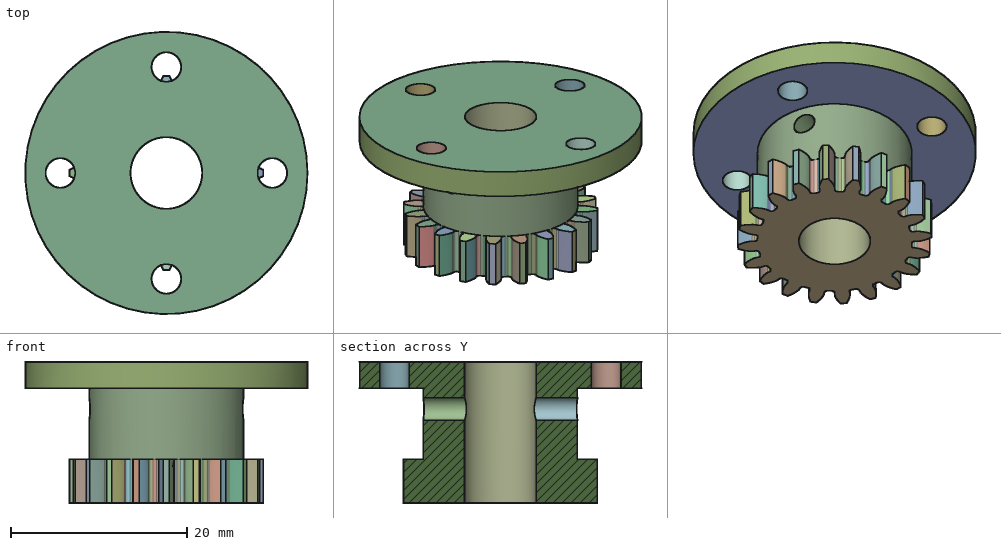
import cadquery as cq
import math

flange_diameter = 32.0
flange_thickness = 3.0
total_height = 16.0
bore_diameter = 8.1

mount_hole_diameter = 3.33
mount_circle_diameter = 24.0
mount_hole_count = 4

cross_hole_diameter = 2.53
cross_hole_height = 10.65

tooth_count = 20
pitch_diameter = 20.0
gear_height = 5.0
pressure_angle = math.radians(20)
dedendum_factor = 1.25
fillet_factor = 0.375
involute_steps = 6

module = pitch_diameter / tooth_count
pitch_radius = pitch_diameter / 2
tip_radius = pitch_radius + module
root_radius = pitch_radius - dedendum_factor * module
base_radius = pitch_radius * math.cos(pressure_angle)

tooth_pitch = 2 * math.pi / tooth_count
base_half_angle = tooth_pitch / 4 + math.tan(pressure_angle) - pressure_angle

fillet_radius = fillet_factor * module
fillet_center_radius = root_radius + fillet_radius
fillet_angle = math.asin(fillet_radius / fillet_center_radius)
foot_radius = fillet_center_radius * math.cos(fillet_angle)
root_half_angle = base_half_angle + fillet_angle


def polar(radius, angle):
    return (radius * math.cos(angle), radius * math.sin(angle))


def flank_half_angle(radius):
    """Half angle of the tooth at a radius on its involute flank."""
    local_angle = math.acos(base_radius / radius)
    return base_half_angle - (math.tan(local_angle) - local_angle)


def flank_points(center_angle, side):
    """Involute points from the base circle to the tip; side is -1 or +1."""
    tip_roll = math.sqrt((tip_radius / base_radius) ** 2 - 1)
    points = []
    for step in range(involute_steps + 1):
        roll = tip_roll * step / involute_steps
        radius = base_radius * math.sqrt(1 + roll**2)
        points.append(polar(radius, center_angle + side * flank_half_angle(radius)))
    return points


def fillet_middle(center_angle, side):
    """Point halfway along a root fillet arc."""
    center_x, center_y = polar(fillet_center_radius, center_angle + side * root_half_angle)
    foot_x, foot_y = polar(foot_radius, center_angle + side * base_half_angle)
    root_x, root_y = polar(root_radius, center_angle + side * root_half_angle)
    toward_x = (foot_x + root_x) / 2 - center_x
    toward_y = (foot_y + root_y) / 2 - center_y
    stretch = fillet_radius / math.hypot(toward_x, toward_y)
    return (center_x + toward_x * stretch, center_y + toward_y * stretch)


def add_tooth(outline, center_angle):
    """Extend the outline over one tooth and along the root to the next tooth."""
    rising = flank_points(center_angle, -1)
    falling = flank_points(center_angle, 1)[::-1]
    next_root_angle = center_angle + tooth_pitch - root_half_angle
    return (
        outline
        .threePointArc(fillet_middle(center_angle, -1), polar(foot_radius, center_angle - base_half_angle))
        .lineTo(*rising[0])
        .spline(rising[1:], includeCurrent=True)
        .threePointArc(polar(tip_radius, center_angle), falling[0])
        .spline(falling[1:], includeCurrent=True)
        .lineTo(*polar(foot_radius, center_angle + base_half_angle))
        .threePointArc(fillet_middle(center_angle, 1), polar(root_radius, center_angle + root_half_angle))
        .threePointArc(polar(root_radius, center_angle + tooth_pitch / 2), polar(root_radius, next_root_angle))
    )


def make_gear():
    outline = cq.Workplane("XY").moveTo(*polar(root_radius, -root_half_angle))
    for tooth in range(tooth_count):
        outline = add_tooth(outline, tooth * tooth_pitch)
    return outline.close().extrude(gear_height)


def make_hub():
    """Plain neck of the gear's root diameter, between the gear and the flange."""
    neck_height = total_height - flange_thickness - gear_height
    return cq.Workplane("XY").workplane(offset=gear_height).circle(root_radius).extrude(neck_height)


def make_flange():
    return (
        cq.Workplane("XY")
        .workplane(offset=total_height - flange_thickness)
        .circle(flange_diameter / 2)
        .extrude(flange_thickness)
        .faces(">Z")
        .workplane()
        .polarArray(mount_circle_diameter / 2, 0, 360, mount_hole_count)
        .hole(mount_hole_diameter)
    )


def make_bore():
    return cq.Workplane("XY").circle(bore_diameter / 2).extrude(total_height)


def make_cross_hole():
    """Cutter along X that passes through both walls of the hub."""
    return (
        cq.Workplane("YZ")
        .center(0, cross_hole_height)
        .circle(cross_hole_diameter / 2)
        .extrude(root_radius + module, both=True)
    )


result = make_gear().union(make_hub()).union(make_flange())
result = result.cut(make_bore()).cut(make_cross_hole())